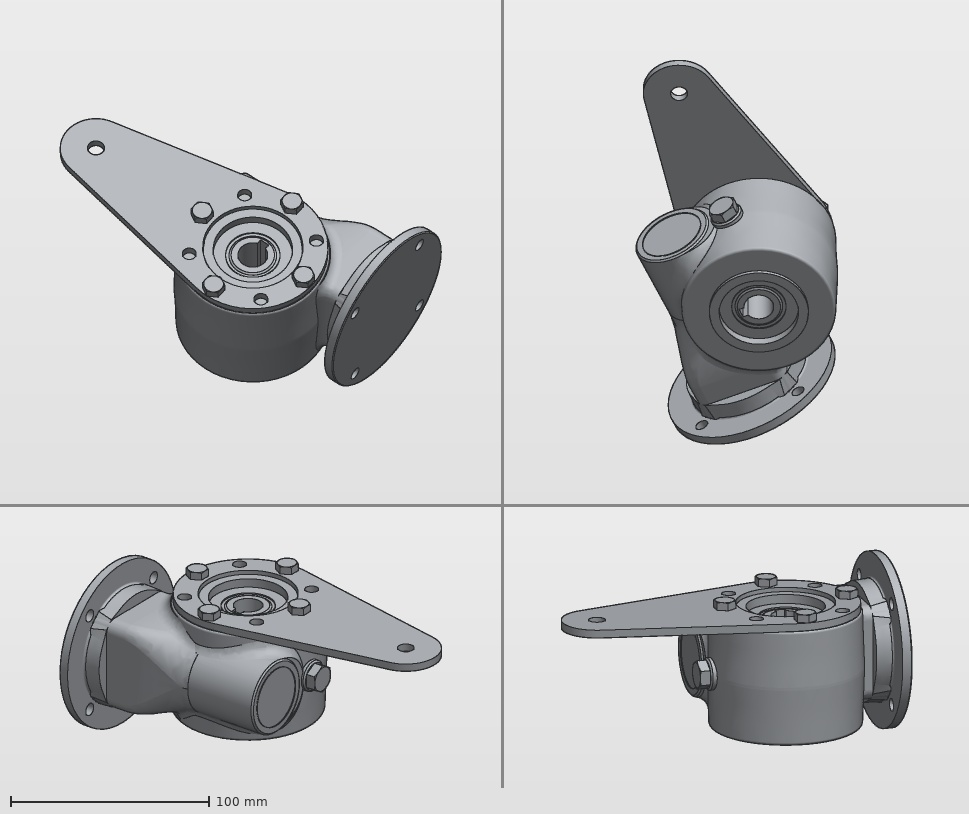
import cadquery as cq
import math


HOUSING_DIA = 79.6
HOUSING_END_DIA = 77.6
HOUSING_HALF_HEIGHT = 30.0
BELT_HALF_HEIGHT = 0.81
HOUSING_EDGE_RADIUS = 1.5
BOSS_DIA = 50.0
BOSS_HEIGHT = 2.0
TUBE_FILLET = 8.0
NECK_FILLET = 6.3

SEAL_RECESS_DIA = 40.0
SEAL_RECESS_DEPTH = 4.7
SEAL_GROOVE_DIA = 27.5
SEAL_GROOVE_DEPTH = 0.7
HUB_DIA = 24.0
HUB_CHAMFER = 1.0
HUB_CHAMFER_HEIGHT = 0.5
BORE_DIA = 15.0
KEY_WIDTH = 5.0
KEY_TOP = 9.7

WORM_Y = 30.1
TUBE_DIA = 40.0
TUBE_END_X = -41.0
TUBE_CHAMFER = 0.9
TUBE_OVERRUN = 18.0
TUBE_OVERLAP = 5.5
TUBE_CAP_DIA = 32.0
TUBE_CAP_DEPTH = 0.5
BLEND_START_X = 0.0
BLEND_START_FLAT = 0.04
NECK_START_X = 36.6
NECK_HALF_WIDTH = 24.5
NECK_CORNER_RADIUS = 6.3
BLEND_STATIONS = 4
CORE_OVERRUN = 14.5
WALL_TOLERANCE = 0.04
SPIGOT_FACE_X = 48.0
SPIGOT_FACE_DIA = 61.7
SPIGOT_BASE_DIA = 62.8
LOBE_RADIUS = 32.0
LOBE_FACE_HALF_WIDTH = 2.9
LOBE_BASE_HALF_WIDTH = 4.9
LOBE_FACE_ANGLE = 17.0
LOBE_BASE_ANGLE = 14.0
SPIGOT_FOOT_RADIUS = 1.0
FLANGE_BACK_X = 57.2
FLANGE_FRONT_X = 62.5
FLANGE_DIA = 90.0
FLANGE_CHAMFER = 0.5
FLANGE_HOLE_OFFSET = 26.5
FLANGE_HOLE_DIA = 6.5
HOLE_CLEARANCE_DIA = 11.0

PLATE_THICKNESS = 4.2
PLATE_RADIUS = 37.9
PLATE_OPENING_DIA = 50.5
ARM_LENGTH = 100.0
ARM_END_RADIUS = 18.0
ARM_HOLE_DIA = 8.5

BOLT_CIRCLE_RADIUS = 32.3
BOLT_FLATS = 10.0
BOLT_HEAD_HEIGHT = 4.2
FREE_HOLE_DIA = 7.0
PLUG_FLATS = 13.0
PLUG_HEX_LENGTH = 5.2
PLUG_COLLAR_DIA = 16.6
PLUG_COLLAR_END_X = -42.0
PLUG_COLLAR_CHAMFER = 0.9
PLUG_COLLAR_EMBED = 0.9
HEX_CHAMFER = 0.4

BOSS_TOP = HOUSING_HALF_HEIGHT + BOSS_HEIGHT
SEAL_FLOOR = BOSS_TOP - SEAL_RECESS_DEPTH
PLATE_TOP = HOUSING_HALF_HEIGHT + PLATE_THICKNESS


def cross_plane(x):
    """Plane normal to +X on the worm axis; local x is +Y and local y is +Z."""
    return cq.Plane(origin=(x, WORM_Y, 0), xDir=(0, 1, 0), normal=(1, 0, 0))


def worm_cylinder(x_start, x_end, diameter):
    """Cylinder on the worm axis."""
    return cq.Workplane(cross_plane(x_start)).circle(diameter / 2).extrude(x_end - x_start)


def z_cylinder(z_start, z_end, diameter):
    """Cylinder on the output axis."""
    return cq.Workplane().workplane(offset=z_start).circle(diameter / 2).extrude(z_end - z_start)


def rounded_square(half_width, corner_radius):
    side = 2 * half_width
    return cq.Sketch().rect(side, side).vertices().fillet(corner_radius)


def housing_drum():
    """Drum tapering from a narrow belt at the parting plane to both ends."""
    outline = [
        (0, -HOUSING_HALF_HEIGHT),
        (HOUSING_END_DIA / 2, -HOUSING_HALF_HEIGHT),
        (HOUSING_DIA / 2, -BELT_HALF_HEIGHT),
        (HOUSING_DIA / 2, BELT_HALF_HEIGHT),
        (HOUSING_END_DIA / 2, HOUSING_HALF_HEIGHT),
        (0, HOUSING_HALF_HEIGHT),
    ]
    drum = cq.Workplane("XZ").polyline(outline).close().revolve(360, (0, 0), (0, 1))
    drum = drum.rotate((0, 0, 0), (0, 0, 1), -90)
    return drum.faces("<Z or >Z").edges().fillet(HOUSING_EDGE_RADIUS)


def neck_blend():
    """Smooth swelling from the round tube to the square neck."""
    start_half_width = TUBE_DIA / 2
    start_radius = start_half_width - BLEND_START_FLAT / 2
    length = NECK_START_X - BLEND_START_X
    sections = []
    for station in range(BLEND_STATIONS + 1):
        fraction = station / BLEND_STATIONS
        ease = fraction**2 * (3 - 2 * fraction)
        half_width = start_half_width + ease * (NECK_HALF_WIDTH - start_half_width)
        radius = start_radius + ease * (NECK_CORNER_RADIUS - start_radius)
        section = rounded_square(half_width, radius)
        sections.append(section.moved(cq.Location(cq.Vector(0, 0, fraction * length))))
    return cq.Workplane(cross_plane(BLEND_START_X)).placeSketch(*sections).loft()


def neck():
    section = rounded_square(NECK_HALF_WIDTH, NECK_CORNER_RADIUS)
    length = FLANGE_BACK_X - NECK_START_X
    return cq.Workplane(cross_plane(NECK_START_X)).placeSketch(section).extrude(length)


def filleted_to_core(branch, fillet_radius):
    """Join a branch to the straight core of the drum with a fillet along the junction."""
    core_radius = HOUSING_END_DIA / 2
    core_half_height = HOUSING_HALF_HEIGHT + CORE_OVERRUN
    core = z_cylinder(-core_half_height, core_half_height, HOUSING_END_DIA)
    core = core.rotate((0, 0, 0), (0, 0, 1), -90)
    joined = core.union(branch)

    def lies_on_core_wall(edge):
        points = [edge.positionAt(t) for t in (0, 0.3, 0.5, 1)]
        on_wall = all(abs(math.hypot(p.x, p.y) - core_radius) < WALL_TOLERANCE for p in points)
        return on_wall and abs(points[2].z) < HOUSING_HALF_HEIGHT

    junction = [edge for edge in joined.edges().vals() if lies_on_core_wall(edge)]
    filleted = joined.newObject(junction).fillet(fillet_radius)
    keep_height = 2 * (HOUSING_HALF_HEIGHT - HOUSING_EDGE_RADIUS)
    return filleted.intersect(cq.Workplane().box(4 * HOUSING_DIA, 4 * HOUSING_DIA, keep_height))


def worm_tube():
    """Tube filleted to the drum, trimmed at its end and closed by a chamfered cap."""
    tube = worm_cylinder(TUBE_END_X - TUBE_OVERRUN, BLEND_START_X + TUBE_OVERLAP, TUBE_DIA)
    tube = tube.rotate((0, WORM_Y, 0), (1, WORM_Y, 0), 90)
    trim_x = TUBE_END_X + TUBE_CHAMFER
    trim = worm_cylinder(TUBE_END_X - 2 * TUBE_OVERRUN, trim_x, 3 * TUBE_DIA)
    cap = worm_cylinder(TUBE_END_X, 0, TUBE_DIA).faces("<X").chamfer(TUBE_CHAMFER)
    recess = worm_cylinder(TUBE_END_X, TUBE_END_X + TUBE_CAP_DEPTH, TUBE_CAP_DIA)
    return filleted_to_core(tube, TUBE_FILLET).cut(trim).union(cap).cut(recess)


def flange_hole_points():
    return [(y, z) for y in (-FLANGE_HOLE_OFFSET, FLANGE_HOLE_OFFSET)
            for z in (-FLANGE_HOLE_OFFSET, FLANGE_HOLE_OFFSET)]


def spigot_lobe():
    """Flat-topped swelling of the spigot on the diagonal between +Y and +Z."""

    def outline(flat_half_width, disc_dia, leave_angle):
        angle = math.radians(leave_angle)
        leave_x = disc_dia / 2 * math.cos(angle)
        leave_y = disc_dia / 2 * math.sin(angle)
        return [
            (0, 0),
            (leave_x, -leave_y),
            (LOBE_RADIUS, -flat_half_width),
            (LOBE_RADIUS, flat_half_width),
            (leave_x, leave_y),
        ]

    lobe = (
        cq.Workplane(cross_plane(SPIGOT_FACE_X))
        .polyline(outline(LOBE_FACE_HALF_WIDTH, SPIGOT_FACE_DIA, LOBE_FACE_ANGLE))
        .close()
        .workplane(offset=FLANGE_BACK_X - SPIGOT_FACE_X)
        .polyline(outline(LOBE_BASE_HALF_WIDTH, SPIGOT_BASE_DIA, LOBE_BASE_ANGLE))
        .close()
        .loft(ruled=True)
    )
    return lobe.rotate((0, WORM_Y, 0), (1, WORM_Y, 0), 45)


def spigot():
    """Drafted disc with four lobes behind the flange, its foot relieved around the flange holes."""
    foot_radius = SPIGOT_BASE_DIA / 2 + SPIGOT_FOOT_RADIUS
    foot_start_x = FLANGE_BACK_X - SPIGOT_FOOT_RADIUS
    profile = (
        cq.Workplane("XY", origin=(0, WORM_Y, 0))
        .moveTo(SPIGOT_FACE_X, 0)
        .lineTo(SPIGOT_FACE_X, SPIGOT_FACE_DIA / 2)
        .lineTo(foot_start_x, SPIGOT_BASE_DIA / 2)
        .radiusArc((FLANGE_BACK_X, foot_radius), -SPIGOT_FOOT_RADIUS)
        .lineTo(FLANGE_BACK_X, 0)
        .close()
    )
    disc = profile.revolve(360, (0, 0), (1, 0))
    relief = (
        cq.Workplane(cross_plane(SPIGOT_FACE_X))
        .pushPoints(flange_hole_points())
        .circle(HOLE_CLEARANCE_DIA / 2)
        .extrude(FLANGE_BACK_X - SPIGOT_FACE_X)
    )
    disc = disc.cut(relief)
    for quarter in range(4):
        disc = disc.union(spigot_lobe().rotate((0, WORM_Y, 0), (1, WORM_Y, 0), 90 * quarter))
    return disc


def motor_flange():
    disc = worm_cylinder(FLANGE_BACK_X, FLANGE_FRONT_X, FLANGE_DIA)
    disc = disc.faces(">X").chamfer(FLANGE_CHAMFER)
    holes = (
        cq.Workplane(cross_plane(FLANGE_BACK_X))
        .pushPoints(flange_hole_points())
        .circle(FLANGE_HOLE_DIA / 2)
        .extrude(FLANGE_FRONT_X - FLANGE_BACK_X)
    )
    return disc.cut(holes)


def torque_arm():
    """Plate with a large round end on the output axis and straight tangent flanks."""
    taper = math.asin((PLATE_RADIUS - ARM_END_RADIUS) / ARM_LENGTH)

    def flank_point(center_x, radius):
        return (center_x - radius * math.sin(taper), radius * math.cos(taper))

    big_x, big_y = flank_point(0, PLATE_RADIUS)
    small_x, small_y = flank_point(-ARM_LENGTH, ARM_END_RADIUS)
    plate = (
        cq.Workplane()
        .workplane(offset=HOUSING_HALF_HEIGHT)
        .moveTo(big_x, big_y)
        .threePointArc((PLATE_RADIUS, 0), (big_x, -big_y))
        .lineTo(small_x, -small_y)
        .threePointArc((-ARM_LENGTH - ARM_END_RADIUS, 0), (small_x, small_y))
        .close()
        .extrude(PLATE_THICKNESS)
    )
    opening = z_cylinder(HOUSING_HALF_HEIGHT, PLATE_TOP, PLATE_OPENING_DIA)
    arm_hole = z_cylinder(HOUSING_HALF_HEIGHT, PLATE_TOP, ARM_HOLE_DIA).translate((-ARM_LENGTH, 0, 0))
    free_holes = (
        cq.Workplane()
        .workplane(offset=HOUSING_HALF_HEIGHT)
        .polarArray(BOLT_CIRCLE_RADIUS, 45, 360, 4)
        .circle(FREE_HOLE_DIA / 2)
        .extrude(PLATE_THICKNESS)
    )
    return plate.cut(opening).cut(arm_hole).cut(free_holes)


def hex_head(flats, height):
    """Hexagonal head on Z = 0 with corners on the Y axis and its top corners turned off."""
    corners = flats / math.cos(math.pi / 6)
    prism = cq.Workplane().polygon(6, corners).extrude(height).rotate((0, 0, 0), (0, 0, 1), 30)
    turned = cq.Workplane().circle(corners / 2).extrude(height)
    turned = turned.faces(">Z").chamfer(HEX_CHAMFER, (corners - flats) / 2)
    return prism.intersect(turned)


def plate_bolts():
    bolts = cq.Workplane()
    for quarter in range(4):
        angle = quarter * math.pi / 2
        place = (BOLT_CIRCLE_RADIUS * math.cos(angle), BOLT_CIRCLE_RADIUS * math.sin(angle), PLATE_TOP)
        bolts = bolts.add(hex_head(BOLT_FLATS, BOLT_HEAD_HEIGHT).translate(place))
    return bolts.combine()


def side_plug():
    """Collared hex plug screwed into the drum on the -X side."""
    root_x = PLUG_COLLAR_EMBED - HOUSING_END_DIA / 2
    collar = (
        cq.Workplane("YZ", origin=(PLUG_COLLAR_END_X, 0, 0))
        .circle(PLUG_COLLAR_DIA / 2)
        .extrude(root_x - PLUG_COLLAR_END_X)
        .faces("<X")
        .chamfer(PLUG_COLLAR_CHAMFER)
    )
    head = hex_head(PLUG_FLATS, PLUG_HEX_LENGTH)
    head = head.rotate((0, 0, 0), (0, 0, 1), 90).rotate((0, 0, 0), (0, 1, 0), -90)
    return collar.union(head.translate((PLUG_COLLAR_END_X, 0, 0)))


def hub_cut():
    """Seal recess with groove and chamfered hub rim, cut from the top boss face."""
    recess = z_cylinder(SEAL_FLOOR, BOSS_TOP, SEAL_RECESS_DIA)
    groove = z_cylinder(SEAL_FLOOR - SEAL_GROOVE_DEPTH, SEAL_FLOOR, SEAL_GROOVE_DIA)
    rim = z_cylinder(SEAL_FLOOR - SEAL_GROOVE_DEPTH, SEAL_FLOOR, HUB_DIA)
    rim = rim.faces(">Z").chamfer(HUB_CHAMFER_HEIGHT, HUB_CHAMFER)
    return recess.union(groove.cut(rim))


def keyed_bore():
    bore = z_cylinder(-BOSS_TOP, BOSS_TOP, BORE_DIA)
    keyway = cq.Workplane().rect(KEY_WIDTH, KEY_TOP).extrude(BOSS_TOP, both=True)
    return bore.union(keyway.translate((0, KEY_TOP / 2, 0)))


body = housing_drum().union(filleted_to_core(neck_blend().union(neck()), NECK_FILLET))
body = body.union(worm_tube())
body = body.union(spigot()).union(motor_flange())
body = body.union(z_cylinder(-BOSS_TOP, BOSS_TOP, BOSS_DIA))

body = body.union(torque_arm())
body = body.union(plate_bolts())
body = body.union(side_plug())

body = body.cut(hub_cut())
body = body.cut(hub_cut().mirror("XY"))
result = body.cut(keyed_bore())